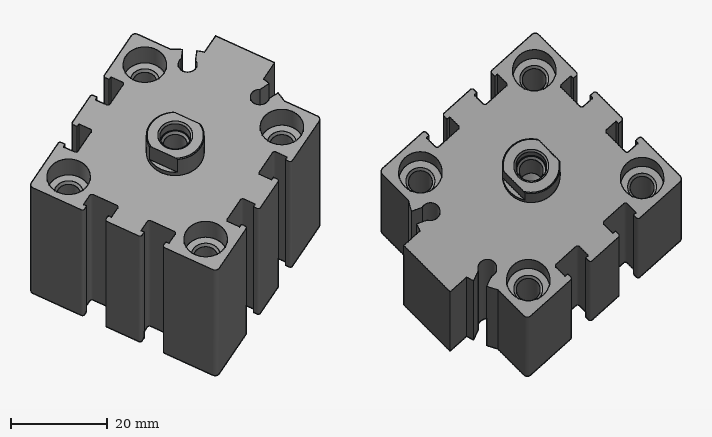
import cadquery as cq
import math

housing_side = 44.5
housing_height = 38.0
corner_radius = 1.0
overall_length = 52.0

sector_radius = 26.0
block_width = 14.0

groove_angle = 22.5
groove_centre_radius = 22.3
groove_bore_diameter = 3.9
groove_neck_width = 2.95

slot_offset = 6.8
slot_mouth_width = 5.1
slot_inner_width = 6.6
slot_lip = 1.4
slot_depth = 4.6
slot_mouth_radius = 0.5
slot_inner_radius = 0.5

hole_pitch = 32.45
hole_diameter = 4.95
hole_mouth_diameter = 6.0
counterbore_diameter = 9.0
counterbore_depth = 5.7

rod_diameter = 12.0
rod_projection = 6.0
rod_insertion = 15.6
rod_chamfer = 0.2
flat_distance = 10.0
flat_start = 1.2

pilot_diameter = 6.4
pilot_chamfer = 0.4
pilot_depth = 2.7
drill_mouth_diameter = 6.0
drill_diameter = 4.95
drill_depth = 11.95
drill_tip_angle = 118.0

half_side = housing_side / 2
block_end = overall_length - half_side
rod_bottom = housing_height - rod_insertion
rod_top = housing_height + rod_projection


def prism(outline):
    """Extrude a closed outline through the full housing height."""
    return outline.extrude(housing_height)


def housing_blank():
    """Rounded square with the raised sector and the connector block on +Y."""
    square = prism(cq.Workplane("XY").rect(housing_side, housing_side))
    square = square.edges("|Z").fillet(corner_radius)
    sector_half_width = math.sqrt(sector_radius**2 - half_side**2)
    sector = prism(
        cq.Workplane("XY")
        .moveTo(-sector_half_width, half_side)
        .threePointArc((0, sector_radius), (sector_half_width, half_side))
        .lineTo(sector_half_width, 0)
        .lineTo(-sector_half_width, 0)
        .close()
    )
    block = prism(cq.Workplane("XY").center(0, block_end / 2).rect(block_width, block_end))
    return square.union(sector).union(block)


def t_slot():
    """T-slot cutter opening at the -Y face, with rounded lips and inner corners."""
    face = -half_side
    half_mouth = slot_mouth_width / 2
    mouth_half_flare = half_mouth + slot_mouth_radius
    floor = face + slot_depth
    mouth = prism(
        cq.Workplane("XY")
        .moveTo(-mouth_half_flare, face)
        .radiusArc((-half_mouth, face + slot_mouth_radius), -slot_mouth_radius)
        .lineTo(-half_mouth, floor)
        .lineTo(half_mouth, floor)
        .lineTo(half_mouth, face + slot_mouth_radius)
        .radiusArc((mouth_half_flare, face), -slot_mouth_radius)
        .close()
    )
    inner_length = slot_depth - slot_lip
    inner = prism(
        cq.Workplane("XY")
        .center(0, floor - inner_length / 2)
        .rect(slot_inner_width, inner_length)
    )
    inner = inner.edges("|Z and >Y").fillet(slot_inner_radius)
    return mouth.union(inner)


def keyhole_groove(angle):
    """Round-bottomed radial groove, turned by the given angle from +Y."""
    neck_length = block_end - groove_centre_radius
    bore = prism(cq.Workplane("XY").center(0, groove_centre_radius).circle(groove_bore_diameter / 2))
    neck = prism(
        cq.Workplane("XY")
        .center(0, groove_centre_radius + neck_length / 2)
        .rect(groove_neck_width, neck_length)
    )
    return bore.union(neck).rotate((0, 0, 0), (0, 0, 1), angle)


def corner_hole(x, y):
    """Through hole with a countersunk mouth at the bottom of a counterbore."""
    floor = housing_height - counterbore_depth
    hole_radius = hole_diameter / 2
    mouth_radius = hole_mouth_diameter / 2
    bore_radius = counterbore_diameter / 2
    half_section = cq.Workplane("XZ").polyline([
        (0, 0),
        (hole_radius, 0),
        (hole_radius, floor - (mouth_radius - hole_radius)),
        (mouth_radius, floor),
        (bore_radius, floor),
        (bore_radius, housing_height),
        (0, housing_height),
    ]).close()
    return half_section.revolve(360, (0, 0), (0, 1)).translate((x, y, 0))


def rod_cylinder():
    """Plain rod, also used to cut its own seat in the housing."""
    length = rod_insertion + rod_projection
    return cq.Workplane("XY").workplane(offset=rod_bottom).circle(rod_diameter / 2).extrude(length)


def make_housing():
    housing = housing_blank()
    for side_angle in (-90, 0, 90):
        for offset in (-slot_offset, slot_offset):
            slot = t_slot().translate((offset, 0, 0))
            housing = housing.cut(slot.rotate((0, 0, 0), (0, 0, 1), side_angle))
    for angle in (-groove_angle, groove_angle):
        housing = housing.cut(keyhole_groove(angle))
    for x in (-hole_pitch / 2, hole_pitch / 2):
        for y in (-hole_pitch / 2, hole_pitch / 2):
            housing = housing.cut(corner_hole(x, y))
    return housing.cut(rod_cylinder())


def rod_end_hole():
    """Chamfered pilot bore stepping down to a drilled hole with a conical tip."""
    pilot_radius = pilot_diameter / 2
    mouth_radius = drill_mouth_diameter / 2
    drill_radius = drill_diameter / 2
    pilot_floor = rod_top - pilot_depth
    drill_floor = rod_top - drill_depth
    tip_length = drill_radius / math.tan(math.radians(drill_tip_angle / 2))
    half_section = cq.Workplane("XZ").polyline([
        (0, drill_floor - tip_length),
        (drill_radius, drill_floor),
        (drill_radius, pilot_floor - (mouth_radius - drill_radius)),
        (mouth_radius, pilot_floor),
        (pilot_radius, pilot_floor),
        (pilot_radius, rod_top - pilot_chamfer),
        (pilot_radius + pilot_chamfer, rod_top),
        (0, rod_top),
    ]).close()
    return half_section.revolve(360, (0, 0), (0, 1))


def make_rod():
    rod = rod_cylinder().faces(">Z").chamfer(rod_chamfer)
    flat_height = rod_projection - flat_start
    cut_depth = rod_diameter / 2
    for side in (-1, 1):
        flat = (
            cq.Workplane("XY")
            .workplane(offset=rod_top - flat_height)
            .center(0, side * (flat_distance + cut_depth) / 2)
            .rect(rod_diameter, cut_depth)
            .extrude(flat_height)
        )
        rod = rod.cut(flat)
    return rod.cut(rod_end_hole())


housing = make_housing()
rod = make_rod()

result = cq.Compound.makeCompound([housing.val(), rod.val()])